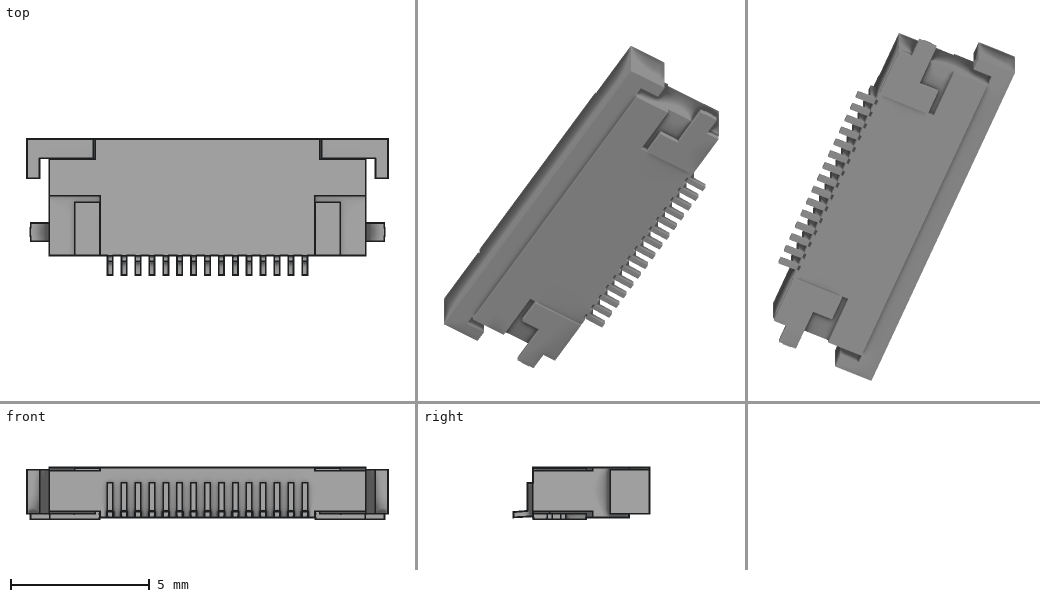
import cadquery as cq


HOUSING_LENGTH = 11.4
HOUSING_DEPTH = 4.2
HOUSING_HEIGHT = 1.8
HOUSING_HALF = HOUSING_LENGTH / 2
HOUSING_FRONT = -HOUSING_DEPTH

LEVER_LENGTH = 13.0
LEVER_THICKNESS = 0.70
LEVER_TOP = HOUSING_HEIGHT - 0.08
LEVER_BOTTOM = 0.13
ARM_WIDTH = 0.46
ARM_REACH = 1.42

TONGUE_HALF = 4.03
SIDE_CLEARANCE = 0.08
FRONT_CLEARANCE = 0.04
CLEARANCE_DEPTH = 0.20

RECESS_INNER = 3.86
RECESS_LENGTH = HOUSING_DEPTH - 2.04
TOP_RECESS_DEPTH = 0.12
BOTTOM_RECESS_DEPTH = 0.22

PAD_WIDTH = 0.92
PAD_LENGTH = HOUSING_DEPTH - 2.28
PAD_TOP = HOUSING_HEIGHT - 0.03

SETBACK = 0.02

NAIL_BOTTOM = -0.07
NAIL_THICKNESS = 0.20
NAIL_LENGTH = PAD_LENGTH
NAIL_INNER = -RECESS_INNER - SETBACK
NAIL_EXTENSION_WIDTH = PAD_WIDTH
TAB_END = 6.36
TAB_WIDTH = 0.67
TAB_FRONT = HOUSING_FRONT + 0.51
STUB_WIDTH = 0.31
STUB_LENGTH = 0.02
KEY_WIDTH = 0.16
KEY_LENGTH = 0.60

CONTACT_COUNT = 15
CONTACT_PITCH = 0.5
CONTACT_WIDTH = 0.20
CONTACT_TOP = 1.25
CONTACT_THICKNESS = 0.20
CONTACT_REACH = 0.70
FOOT_DROP = 0.04
SLOT_WIDTH = 0.24
SLOT_HEIGHT = 0.20
SLOT_DEPTH = 0.10


def block(x_range, y_range, z_range):
    """Box between two X, two Y and two Z limits."""
    size = [high - low for low, high in (x_range, y_range, z_range)]
    corner = (x_range[0], y_range[0], z_range[0])
    return cq.Workplane("XY").box(*size, centered=False).translate(corner)


def both_ends(shape):
    """A shape on the -X end together with its mirror image on the +X end."""
    return shape.union(shape.mirror("YZ"))


def housing():
    """Main block with a back tongue, four corner recesses and the two top pads."""
    main = block(
        (-HOUSING_HALF, HOUSING_HALF),
        (HOUSING_FRONT, -LEVER_THICKNESS - FRONT_CLEARANCE),
        (0, HOUSING_HEIGHT),
    )
    tongue = block(
        (-TONGUE_HALF, TONGUE_HALF),
        (-LEVER_THICKNESS - FRONT_CLEARANCE, 0),
        (LEVER_BOTTOM, HOUSING_HEIGHT),
    )
    recess_y = (HOUSING_FRONT, HOUSING_FRONT + RECESS_LENGTH)
    top_recess = block(
        (-HOUSING_HALF, -RECESS_INNER),
        recess_y,
        (HOUSING_HEIGHT - TOP_RECESS_DEPTH, HOUSING_HEIGHT),
    )
    bottom_recess = block((-HOUSING_HALF, -RECESS_INNER), recess_y, (0, BOTTOM_RECESS_DEPTH))
    pad = block(
        (-RECESS_INNER - PAD_WIDTH, -RECESS_INNER - SETBACK),
        (HOUSING_FRONT + SETBACK, HOUSING_FRONT + PAD_LENGTH),
        (HOUSING_HEIGHT - TOP_RECESS_DEPTH, PAD_TOP),
    )
    body = main.union(tongue)
    return body.cut(both_ends(top_recess)).cut(both_ends(bottom_recess)).union(both_ends(pad))


def lever_end():
    """Arm and end part of the lever, joined to the housing below the clearance groove."""
    lever_z = (LEVER_BOTTOM, LEVER_TOP)
    outer = -LEVER_LENGTH / 2
    bar_end = -TONGUE_HALF - SIDE_CLEARANCE
    arm = block((outer, outer + ARM_WIDTH), (-ARM_REACH, 0), lever_z)
    bar = block((outer, bar_end), (-LEVER_THICKNESS, 0), lever_z)
    joint = block(
        (-HOUSING_HALF, -TONGUE_HALF),
        (-LEVER_THICKNESS - FRONT_CLEARANCE, 0),
        (LEVER_BOTTOM, LEVER_TOP - CLEARANCE_DEPTH),
    )
    return arm.union(bar).union(joint)


def solder_nail():
    """L-shaped sheet with a side tab, held by a key against the recess ceiling."""
    nail_top = NAIL_BOTTOM + NAIL_THICKNESS
    nail_z = (NAIL_BOTTOM, nail_top)
    nail_front = HOUSING_FRONT + SETBACK
    plate_outer = -HOUSING_HALF + SETBACK
    tab_back = TAB_FRONT + TAB_WIDTH
    plate = block((plate_outer, NAIL_INNER), (nail_front, tab_back), nail_z)
    extension = block(
        (NAIL_INNER - NAIL_EXTENSION_WIDTH, NAIL_INNER),
        (tab_back, HOUSING_FRONT + NAIL_LENGTH),
        nail_z,
    )
    tab = block((-TAB_END, plate_outer), (TAB_FRONT, tab_back), nail_z)
    stub_margin = (TAB_WIDTH - STUB_WIDTH) / 2
    stub = block(
        (-TAB_END - STUB_LENGTH, -TAB_END),
        (TAB_FRONT + stub_margin, tab_back - stub_margin),
        nail_z,
    )
    key = block(
        (NAIL_INNER - KEY_WIDTH, NAIL_INNER),
        (nail_front, HOUSING_FRONT + KEY_LENGTH),
        (nail_top, BOTTOM_RECESS_DEPTH),
    )
    return plate.union(extension).union(tab).union(stub).union(key)


def contact(x):
    """Upright stem on the front face with a slightly drooping foot."""
    stem_front = HOUSING_FRONT - CONTACT_THICKNESS
    foot_end = HOUSING_FRONT - CONTACT_REACH
    profile = [
        (HOUSING_FRONT, CONTACT_TOP),
        (stem_front, CONTACT_TOP),
        (stem_front, FOOT_DROP + CONTACT_THICKNESS),
        (foot_end, CONTACT_THICKNESS),
        (foot_end, 0),
        (HOUSING_FRONT, FOOT_DROP),
    ]
    bent_strip = cq.Workplane("YZ").polyline(profile).close().extrude(CONTACT_WIDTH / 2, both=True)
    return bent_strip.translate((x, 0, 0))


def contact_slot(x):
    """Opening in the lower front edge of the housing behind a contact foot."""
    return block(
        (x - SLOT_WIDTH / 2, x + SLOT_WIDTH / 2),
        (HOUSING_FRONT, HOUSING_FRONT + SLOT_DEPTH),
        (0, SLOT_HEIGHT),
    )


result = housing().union(both_ends(lever_end())).union(both_ends(solder_nail()))
for index in range(CONTACT_COUNT):
    contact_x = (index - (CONTACT_COUNT - 1) / 2) * CONTACT_PITCH
    result = result.cut(contact_slot(contact_x)).union(contact(contact_x))